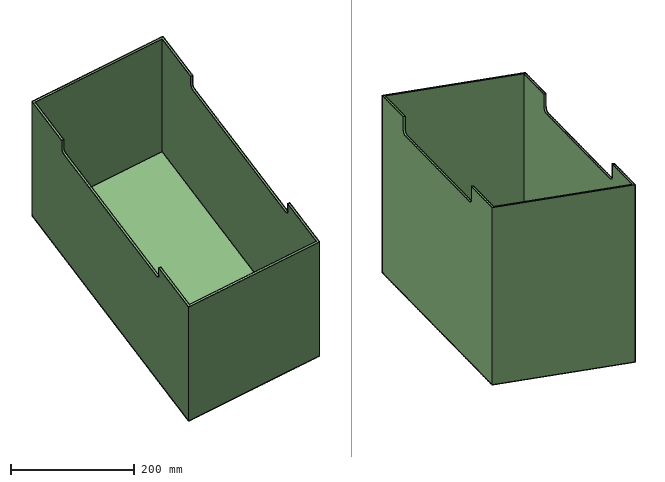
import cadquery as cq

length = 485.0
width = 250.0
height = 315.0
wall = 4.0

notch_length = 300.0
notch_depth = 30.0
notch_radius = 8.0


def open_bin():
    """Rectangular bin with equal walls and floor, standing on the XY plane."""
    block = cq.Workplane("XY").box(length, width, height, centered=(True, True, False))
    return block.faces(">Z").shell(-wall)


def rim_notch():
    """Cutter across both long walls, with rounded lower corners."""
    return (
        cq.Workplane("XY")
        .box(notch_length, width, notch_depth, centered=(True, True, False))
        .edges("|Y and <Z")
        .fillet(notch_radius)
        .translate((0, 0, height - notch_depth))
    )


result = open_bin().cut(rim_notch())